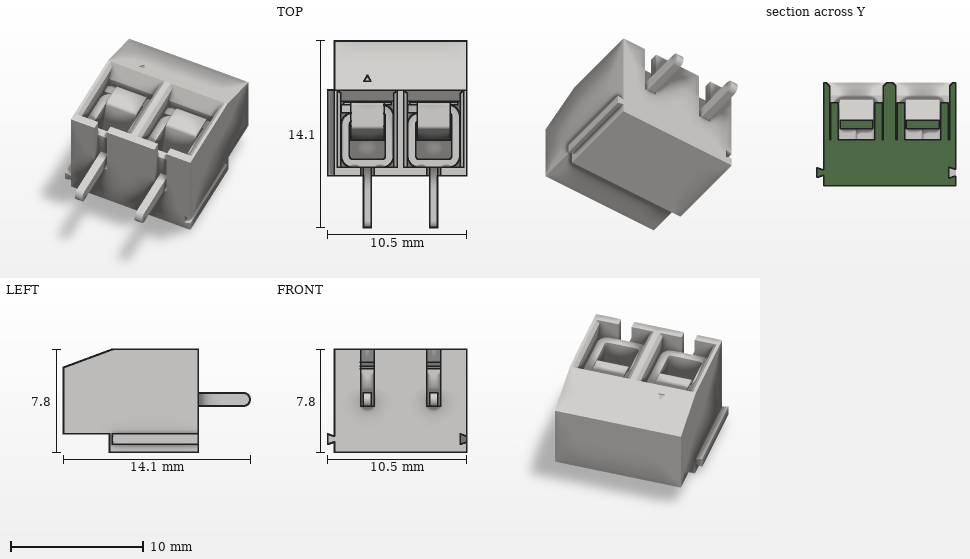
import cadquery as cq
import math


body_width = 10.0
body_depth = 10.2
body_height = 7.8
back_height = 6.42
roof_edge_y = 6.47
foot_depth = 6.71
foot_height = 1.4

pole_pitch = 5.0
first_pole_x = (body_width - pole_pitch) / 2
pole_centers = [first_pole_x, first_pole_x + pole_pitch]

dovetail_reach = 0.51
dovetail_wide = 0.79
dovetail_narrow = 0.45
dovetail_z = foot_height - dovetail_wide / 2
dovetail_length = 6.5

pocket_width = 4.0
pocket_front_y = 0.65
pocket_back_y = 5.64
pocket_floor_z = 3.5
pocket_back_bevel_height = 0.99
pocket_side_bevel = 0.27

slot_width = 1.03
pin_width = 0.6
pin_height = 1.0
pin_length = 3.9

cage_width = 3.92
cage_back_y = 5.36
cage_top_z = 6.32
strip = 0.6
cage_inner_radius = 0.24
cage_outer_radius = cage_inner_radius + strip

sheet = 0.2
leaf_width = 2.51
leaf_top_z = cage_top_z + sheet
leaf_back_y = cage_back_y + sheet
leaf_knee_y = 3.6
leaf_toe_y = 2.71
leaf_back_bend = 0.23
leaf_knee_bend = 0.25
leaf_plate_width = 3.6
leaf_plate_top_z = 6.2

screw_diameter = 2.51
screw_z = (pocket_floor_z + cage_top_z) / 2

mark_width = 0.52
mark_length = 0.48
mark_front_y = 7.13
mark_depth = 0.1


def box(x_center, width, y_front, y_back, z_low, z_high):
    """Box centred on x_center and bounded in Y and Z."""
    size = (width, y_back - y_front, z_high - z_low)
    corner = (x_center - width / 2, y_front, z_low)
    return cq.Workplane("XY").box(*size, centered=False).translate(corner)


def across(points, x_center, width):
    """Close a (y, z) outline and extrude it along X about x_center."""
    outline = cq.Workplane("YZ", origin=(x_center, 0, 0)).polyline(points).close()
    return outline.extrude(width / 2, both=True)


def dovetail(x_root):
    """Bar along Y that widens away from its root towards -X."""
    x_tip = x_root - dovetail_reach
    points = [
        (x_root, dovetail_z - dovetail_narrow / 2),
        (x_tip, dovetail_z - dovetail_wide / 2),
        (x_tip, dovetail_z + dovetail_wide / 2),
        (x_root, dovetail_z + dovetail_narrow / 2),
    ]
    return cq.Workplane("XZ").polyline(points).close().extrude(-dovetail_length)


def body():
    """Side profile with the stepped foot and sloped roof, plus rail and groove."""
    profile = [
        (0, 0),
        (foot_depth, 0),
        (foot_depth, foot_height),
        (body_depth, foot_height),
        (body_depth, back_height),
        (roof_edge_y, body_height),
        (0, body_height),
    ]
    block = across(profile, body_width / 2, body_width)
    return block.union(dovetail(0)).cut(dovetail(body_width))


def pocket(x):
    """Pocket with a bevelled back, bevelled sides and the pin slot at the front."""
    bevel_bottom_z = body_height - pocket_back_bevel_height
    rim_width = pocket_width + 2 * pocket_side_bevel
    bevel_slope = (roof_edge_y - pocket_back_y) / pocket_back_bevel_height
    rim_bottom_z = body_height - pocket_side_bevel
    rim_back_y = roof_edge_y - bevel_slope * pocket_side_bevel
    well_profile = [
        (pocket_front_y, pocket_floor_z),
        (pocket_back_y, pocket_floor_z),
        (pocket_back_y, bevel_bottom_z),
        (roof_edge_y, body_height),
        (pocket_front_y, body_height),
    ]
    well = across(well_profile, x, pocket_width)
    rim_profile = [
        (pocket_front_y, rim_bottom_z),
        (rim_back_y, rim_bottom_z),
        (roof_edge_y, body_height),
        (pocket_front_y, body_height),
    ]
    rim = across(rim_profile, x, rim_width)
    for side in (-1, 1):
        lower_x = x + side * pocket_width / 2
        upper_x = x + side * rim_width / 2
        below_bevel = (
            cq.Workplane("XZ")
            .polyline([(lower_x, rim_bottom_z), (upper_x, rim_bottom_z), (upper_x, body_height)])
            .close()
            .extrude(-body_depth)
        )
        rim = rim.cut(below_bevel)
    slot = box(x, slot_width, 0, pocket_front_y, pocket_floor_z, body_height)
    return well.union(rim).union(slot)


def pin(x):
    """Flat pin along -Y with a fully rounded tip, rooted in the cage."""
    low_z = pocket_floor_z
    high_z = low_z + pin_height
    shoulder_y = pin_height / 2 - pin_length
    root_y = pocket_front_y + strip / 2
    profile = (
        cq.Workplane("YZ", origin=(x, 0, 0))
        .moveTo(root_y, low_z)
        .lineTo(shoulder_y, low_z)
        .threePointArc((-pin_length, (low_z + high_z) / 2), (shoulder_y, high_z))
        .lineTo(root_y, high_z)
        .close()
    )
    return profile.extrude(pin_width / 2, both=True)


def cage(x):
    """Wrapped strip: the right arm closes behind the shorter left arm."""
    overlap_y = cage_back_y - strip

    def block(inset, y_back):
        return box(x, cage_width - 2 * inset, pocket_front_y + inset, y_back,
                   pocket_floor_z, cage_top_z)

    left_half = box(x - cage_width / 4, cage_width / 2, pocket_front_y, overlap_y,
                    pocket_floor_z, cage_top_z)
    left_arm = block(0, overlap_y).edges("|Z").fillet(cage_outer_radius).intersect(left_half)

    left_end = box(x - cage_width / 4, cage_width / 2, overlap_y, cage_back_y,
                   pocket_floor_z, cage_top_z)
    right_half = box(x + cage_width / 4, cage_width / 2, pocket_front_y, cage_back_y,
                     pocket_floor_z, cage_top_z)
    right_outline = block(0, cage_back_y)
    right_outline = right_outline.edges("|Z").edges(">X").fillet(cage_outer_radius)
    right_arm = right_outline.intersect(right_half.union(left_end))

    left_opening = block(strip, overlap_y - strip)
    right_opening = block(strip, overlap_y).intersect(right_half)
    opening = left_opening.union(right_opening).edges("|Z").fillet(cage_inner_radius)
    return left_arm.union(right_arm).cut(opening)


def leaf(x):
    """Bent sheet over the back of the cage, with a wider plate behind it."""
    knee_drop = leaf_top_z - pocket_floor_z
    slant = math.hypot(leaf_knee_y - leaf_toe_y, knee_drop)
    sheet_y = sheet * slant / knee_drop
    toe_slope = (leaf_knee_y - leaf_toe_y) / knee_drop
    solid = across(
        [
            (leaf_toe_y, pocket_floor_z),
            (leaf_back_y, pocket_floor_z),
            (leaf_back_y, leaf_top_z),
            (leaf_knee_y, leaf_top_z),
        ],
        x, leaf_width,
    )
    solid = solid.edges("|X").edges(">Z").edges(">Y").fillet(leaf_back_bend)
    solid = solid.edges("|X").edges(">Z").edges("<Y").fillet(leaf_knee_bend)
    hollow = across(
        [
            (leaf_toe_y + sheet_y, pocket_floor_z),
            (cage_back_y, pocket_floor_z),
            (cage_back_y, cage_top_z),
            (leaf_knee_y + sheet_y - toe_slope * sheet, cage_top_z),
        ],
        x, leaf_width,
    )
    plate = box(x, leaf_plate_width, cage_back_y, leaf_back_y, pocket_floor_z, leaf_plate_top_z)
    return solid.cut(hollow).union(plate)


def screw_tip(x):
    """Round screw end bridging the gap behind the leaf."""
    disc = cq.Workplane("XZ", origin=(x, leaf_back_y, screw_z)).circle(screw_diameter / 2)
    return disc.extrude(leaf_back_y - pocket_back_y)


def pole_mark():
    """Shallow triangle sunk into the roof behind the first pole, pointing back."""
    roof_slope = (body_height - back_height) / (body_depth - roof_edge_y)
    mark_z = body_height - roof_slope * (mark_front_y - roof_edge_y)
    triangle = cq.Workplane("XY").polyline([
        (first_pole_x - mark_width / 2, mark_front_y),
        (first_pole_x + mark_width / 2, mark_front_y),
        (first_pole_x, mark_front_y + mark_length),
    ]).close().extrude(body_height)
    above_floor = across(
        [
            (mark_front_y, mark_z - mark_depth),
            (mark_front_y + mark_length, mark_z - mark_depth - roof_slope * mark_length),
            (mark_front_y + mark_length, body_height),
            (mark_front_y, body_height),
        ],
        first_pole_x, mark_width,
    )
    return triangle.intersect(above_floor)


result = body().cut(pole_mark())
for pole_x in pole_centers:
    result = result.cut(pocket(pole_x))
    for metal_part in (cage(pole_x), leaf(pole_x), screw_tip(pole_x), pin(pole_x)):
        result = result.union(metal_part)